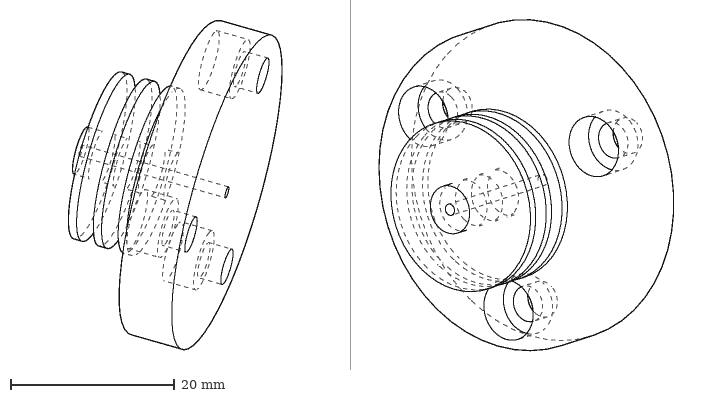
import cadquery as cq
import math

total_length = 19.0
flange_diameter = 40.0
flange_thickness = 7.0
flange_edge_radius = 0.5

stem_diameter = 6.0
bore_diameter = 1.4
disc_diameter = 21.3
disc_thickness = 1.1
disc_pitch = 3.25
disc_count = 3
first_disc_offset = 2.2
root_fillet_radius = 0.4

hole_count = 3
hole_circle_radius = 15.0
hole_diameter = 4.5
counterbore_diameter = 7.5
counterbore_depth = 4.0

flange_front = total_length - flange_thickness


def cylinder(start, length, diameter, y=0, z=0):
    """Cylinder along +X from the given start plane."""
    return cq.Workplane("YZ", origin=(start, y, z)).circle(diameter / 2).extrude(length)


def make_flange():
    flange = cylinder(flange_front, flange_thickness, flange_diameter)
    return flange.faces("<X").edges().fillet(flange_edge_radius)


def make_finned_stem(body):
    """Add the stem and discs, then round each corner at the stem surface."""
    body = body.union(cylinder(0, flange_front + flange_edge_radius, stem_diameter))
    root_planes = [flange_front]
    for index in range(disc_count):
        disc_start = first_disc_offset + index * disc_pitch
        body = body.union(cylinder(disc_start, disc_thickness, disc_diameter))
        root_planes += [disc_start, disc_start + disc_thickness]
    stem_radius = stem_diameter / 2
    tolerance = 0.05
    for x in root_planes:
        root_edge = cq.selectors.BoxSelector(
            (x - tolerance, -stem_radius - tolerance, -stem_radius - tolerance),
            (x + tolerance, stem_radius + tolerance, stem_radius + tolerance),
            boundingbox=True,
        )
        body = body.edges("%CIRCLE").edges(root_edge).fillet(root_fillet_radius)
    return body


def cut_mounting_holes(body):
    """Space the holes evenly around the axis, starting at -Z."""
    for index in range(hole_count):
        angle = math.radians(-90 + index * 360 / hole_count)
        y = hole_circle_radius * math.cos(angle)
        z = hole_circle_radius * math.sin(angle)
        body = body.cut(cylinder(flange_front, flange_thickness, hole_diameter, y, z))
        body = body.cut(cylinder(flange_front, counterbore_depth, counterbore_diameter, y, z))
    return body


finned_flange = cut_mounting_holes(make_finned_stem(make_flange()))
result = finned_flange.cut(cylinder(0, total_length, bore_diameter))